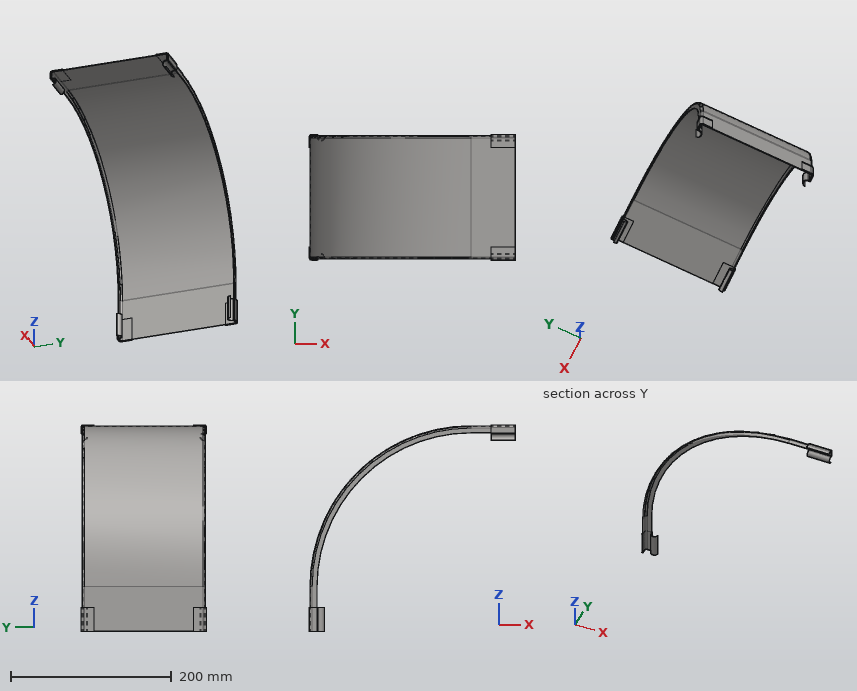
import cadquery as cq
import math

SHEET = 1.0
COVER_SPAN = 255.4
COVER_WIDTH = 153.4
FLANGE_DEPTH = 9.0
BEND_RADIUS = 199.9
CORNER_RADIUS = 2.8
CLIP_LENGTH = 30.3
CLIP_REACH = 16.5
CLIP_DEPTH = 19.3
CLIP_WIDTH = 156.5
CLIP_CORNER_RADIUS = 3.3
CLIP_HEEL_RADIUS = 1.3
CURL_START = 3.0
CLIP_OVERHANG = 0.5

STRAIGHT = COVER_SPAN - BEND_RADIUS
HALF_WIDTH = COVER_WIDTH / 2
CLIP_HALF_WIDTH = CLIP_WIDTH / 2
LEDGE_DEPTH = FLANGE_DEPTH + 2 * SHEET
CURL_RADIUS = (CLIP_DEPTH - LEDGE_DEPTH) / 2
DIAGONAL = math.sqrt(0.5)


def section_on(plane):
    """U section of the cover; x runs from the outer face inward, y across the width."""
    wall_end = HALF_WIDTH - SHEET
    outer = CORNER_RADIUS
    inner = CORNER_RADIUS - SHEET
    outer_mid = outer * (1 - DIAGONAL)
    inner_mid = outer - inner * DIAGONAL
    shoulder = HALF_WIDTH - outer
    return (
        cq.Workplane(plane)
        .moveTo(FLANGE_DEPTH, -HALF_WIDTH)
        .lineTo(outer, -HALF_WIDTH)
        .threePointArc((outer_mid, outer_mid - HALF_WIDTH), (0, -shoulder))
        .lineTo(0, shoulder)
        .threePointArc((outer_mid, HALF_WIDTH - outer_mid), (outer, HALF_WIDTH))
        .lineTo(FLANGE_DEPTH, HALF_WIDTH)
        .lineTo(FLANGE_DEPTH, wall_end)
        .lineTo(outer, wall_end)
        .threePointArc((inner_mid, HALF_WIDTH - inner_mid), (SHEET, shoulder))
        .lineTo(SHEET, -shoulder)
        .threePointArc((inner_mid, inner_mid - HALF_WIDTH), (outer, -wall_end))
        .lineTo(FLANGE_DEPTH, -wall_end)
        .close()
    )


def make_cover():
    """Bent sheet cover: two straight arms joined by a quarter-circle bend."""
    lower_end = cq.Plane(origin=(0, 0, 0), xDir=(1, 0, 0), normal=(0, 0, 1))
    bend_start = cq.Plane(origin=(0, 0, STRAIGHT), xDir=(1, 0, 0), normal=(0, 0, 1))
    bend_end = cq.Plane(origin=(BEND_RADIUS, 0, COVER_SPAN), xDir=(0, 0, -1), normal=(1, 0, 0))
    lower_arm = section_on(lower_end).extrude(STRAIGHT)
    bend = section_on(bend_start).revolve(90, (BEND_RADIUS, 0, 0), (BEND_RADIUS, 1, 0))
    upper_arm = section_on(bend_end).extrude(STRAIGHT)
    return lower_arm.union(bend).union(upper_arm)


def make_clip(origin, arm_direction):
    """Clip on the -Y flange; its profile has x inward and y toward the outer face."""
    plane = cq.Plane(origin=origin, xDir=(0, 1, 0), normal=arm_direction)
    outer = CLIP_CORNER_RADIUS
    inner = CLIP_CORNER_RADIUS - SHEET
    outer_mid = outer * (1 - DIAGONAL)
    inner_mid = outer - inner * DIAGONAL
    heel = CLIP_HEEL_RADIUS
    heel_mid = heel * (1 - DIAGONAL)
    curl_middle = -(LEDGE_DEPTH + CLIP_DEPTH) / 2
    return (
        cq.Workplane(plane)
        .moveTo(CLIP_REACH, 0)
        .lineTo(outer, 0)
        .threePointArc((outer_mid, -outer_mid), (0, -outer))
        .lineTo(0, heel - LEDGE_DEPTH)
        .threePointArc((heel_mid, heel_mid - LEDGE_DEPTH), (heel, -LEDGE_DEPTH))
        .lineTo(CURL_START, -LEDGE_DEPTH)
        .threePointArc((CURL_START + CURL_RADIUS, curl_middle), (CURL_START, -CLIP_DEPTH))
        .lineTo(CURL_START + SHEET, -CLIP_DEPTH)
        .threePointArc(
            (CURL_START + CURL_RADIUS + SHEET, curl_middle),
            (CURL_START + SHEET, -LEDGE_DEPTH + SHEET),
        )
        .lineTo(SHEET, -LEDGE_DEPTH + SHEET)
        .lineTo(SHEET, -outer)
        .threePointArc((inner_mid, -inner_mid), (outer, -SHEET))
        .lineTo(CLIP_REACH, -SHEET)
        .close()
        .extrude(CLIP_LENGTH)
    )


cover = make_cover()

clip_positions = [
    ((-SHEET, -CLIP_HALF_WIDTH, -CLIP_OVERHANG), (0, 0, 1)),
    ((COVER_SPAN - CLIP_LENGTH, -CLIP_HALF_WIDTH, COVER_SPAN + SHEET), (1, 0, 0)),
]
clips = []
for clip_origin, clip_direction in clip_positions:
    clip = make_clip(clip_origin, clip_direction)
    clips.append(clip.val())
    clips.append(clip.mirror("XZ").val())

result = cq.Compound.makeCompound([cover.val(), *clips])